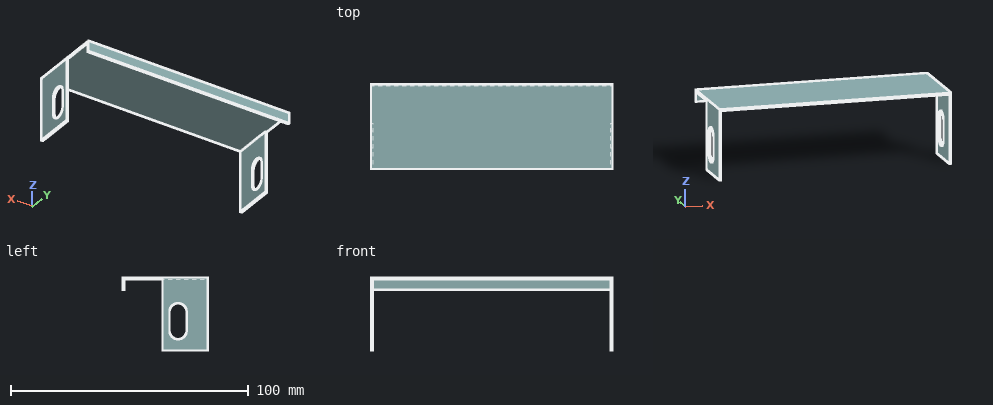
import cadquery as cq

length = 101.6
depth = 35.8
height = 30.8
sheet = 0.8

flange_width = 19.1
lip_height = 5.2

slot_width = 7.1
slot_length = 15.0
slot_from_front = 12.5
slot_from_bottom = 12.4


def box_from_corner(x_size, y_size, z_size, x, y, z):
    """Box whose lowest corner sits at (x, y, z)."""
    return cq.Workplane("XY").box(x_size, y_size, z_size, centered=False).translate((x, y, z))


top_plate = box_from_corner(length, depth, sheet, 0, 0, height - sheet)
rear_lip = box_from_corner(length, sheet, lip_height, 0, depth - sheet, height - lip_height)
result = top_plate.union(rear_lip)

for flange_x in (0, length - sheet):
    result = result.union(box_from_corner(sheet, flange_width, height, flange_x, 0, 0))

slot_cutter = (
    cq.Workplane("YZ")
    .center(slot_from_front, slot_from_bottom)
    .slot2D(slot_length, slot_width, angle=90)
    .extrude(length)
)
result = result.cut(slot_cutter)